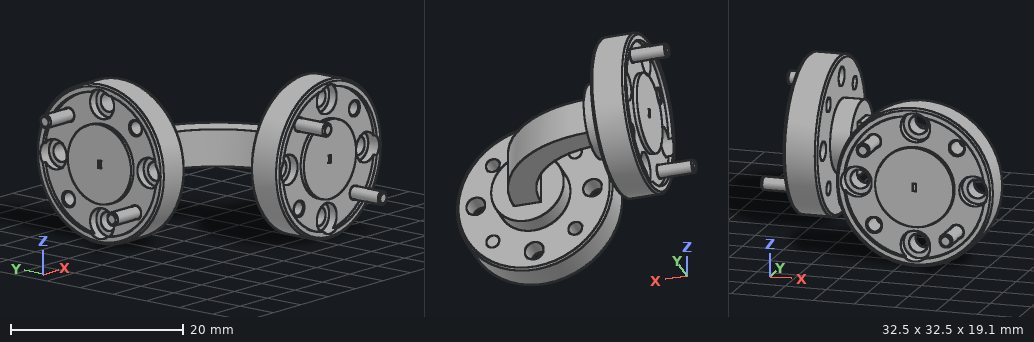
import cadquery as cq
import math

overall_length = 32.45

flange_diameter = 19.05
flange_thickness = 4.15
flange_chamfer = 0.25
hub_diameter = 8.9
hub_length = 2.45

boss_diameter = 9.55
rim_inner_diameter = 17.2
recess_depth = 0.5

hole_circle_diameter = 14.28
bolt_hole_diameter = 2.27
counterbore_diameter = 3.6
counterbore_depth = 1.62
open_hole_diameter = 1.7
open_hole_chamfer = 0.13
pin_hole_chamfer = 0.05
bolt_angles = [0, 90, 180, 270]
open_hole_angles = [45, 225]
pin_angles = [135, 315]

pin_diameter = 1.6
pin_chamfer = 0.2

tube_width = 3.3
tube_height = 4.48
aperture_width = 0.42
aperture_height = 0.88
aperture_depth = 0.15

face_distance = flange_diameter
recess_floor_distance = face_distance - recess_depth
flange_back_distance = face_distance - flange_thickness
hub_end_distance = flange_back_distance - hub_length
pin_tip_distance = overall_length - flange_diameter / 2

bend_radius = hub_end_distance


def cylinder(diameter, near, far):
    """Cylinder along -Y between two distances."""
    return cq.Workplane("XZ", origin=(0, -near, 0)).circle(diameter / 2).extrude(far - near)


def on_hole_circle(body, angle):
    """Move a body from the flange axis to its place on the hole circle."""
    radius = hole_circle_diameter / 2
    x = radius * math.cos(math.radians(angle))
    z = radius * math.sin(math.radians(angle))
    return body.translate((x, 0, z))


def facing_minus_x(body):
    """Turn a body that faces -Y about the Z axis until it faces -X."""
    return body.rotate((0, 0, 0), (0, 0, 1), -90)


def make_face_recess():
    ring = cylinder(rim_inner_diameter, recess_floor_distance, face_distance)
    return ring.cut(cylinder(boss_diameter, recess_floor_distance, face_distance))


def make_aperture():
    """Shallow rectangular opening in the middle of the boss."""
    aperture_floor_distance = face_distance - aperture_depth
    section = cq.Workplane("XZ", origin=(0, -aperture_floor_distance, 0))
    return section.rect(aperture_width, aperture_height).extrude(aperture_depth)


def make_bolt_hole():
    shank = cylinder(bolt_hole_diameter, flange_back_distance, face_distance)
    counterbore_floor = face_distance - counterbore_depth
    return shank.union(cylinder(counterbore_diameter, counterbore_floor, face_distance))


def make_chamfered_hole(diameter, chamfer):
    """Through hole with a chamfered mouth at the recess floor."""
    radius = diameter / 2
    profile = [
        (0, -flange_back_distance),
        (radius, -flange_back_distance),
        (radius, -recess_floor_distance + chamfer),
        (radius + chamfer, -recess_floor_distance),
        (0, -recess_floor_distance),
    ]
    return cq.Workplane("XY").polyline(profile).close().revolve(360, (0, 0, 0), (0, 1, 0))


def make_pin():
    pin = cylinder(pin_diameter, flange_back_distance, pin_tip_distance)
    return pin.faces("<Y").chamfer(pin_chamfer)


def make_flange():
    flange = cylinder(flange_diameter, flange_back_distance, face_distance)
    flange = flange.faces("<Y or >Y").chamfer(flange_chamfer)
    flange = flange.union(cylinder(hub_diameter, hub_end_distance, flange_back_distance))
    flange = flange.cut(make_face_recess())
    flange = flange.cut(make_aperture())
    bolt_hole = make_bolt_hole()
    for angle in bolt_angles:
        flange = flange.cut(on_hole_circle(bolt_hole, angle))
    open_hole = make_chamfered_hole(open_hole_diameter, open_hole_chamfer)
    for angle in open_hole_angles:
        flange = flange.cut(on_hole_circle(open_hole, angle))
    pin_hole = make_chamfered_hole(pin_diameter, pin_hole_chamfer)
    for angle in pin_angles:
        flange = flange.cut(on_hole_circle(pin_hole, angle))
    return flange


def make_tube():
    """Quarter-circle bar of rectangular section joining the two hub ends."""
    section = cq.Workplane("XZ", origin=(0, -bend_radius, 0)).rect(tube_width, tube_height)
    return section.revolve(90, (-bend_radius, 0, 0), (-bend_radius, 1, 0))


def make_waveguide():
    """Both flanges and the tube between them as one solid."""
    flange = make_flange()
    return make_tube().union(flange).union(facing_minus_x(flange))


waveguide = make_waveguide()

pins = []
for angle in pin_angles:
    pin = on_hole_circle(make_pin(), angle)
    pins.append(pin.val())
    pins.append(facing_minus_x(pin).val())

result = cq.Compound.makeCompound([waveguide.val(), *pins])